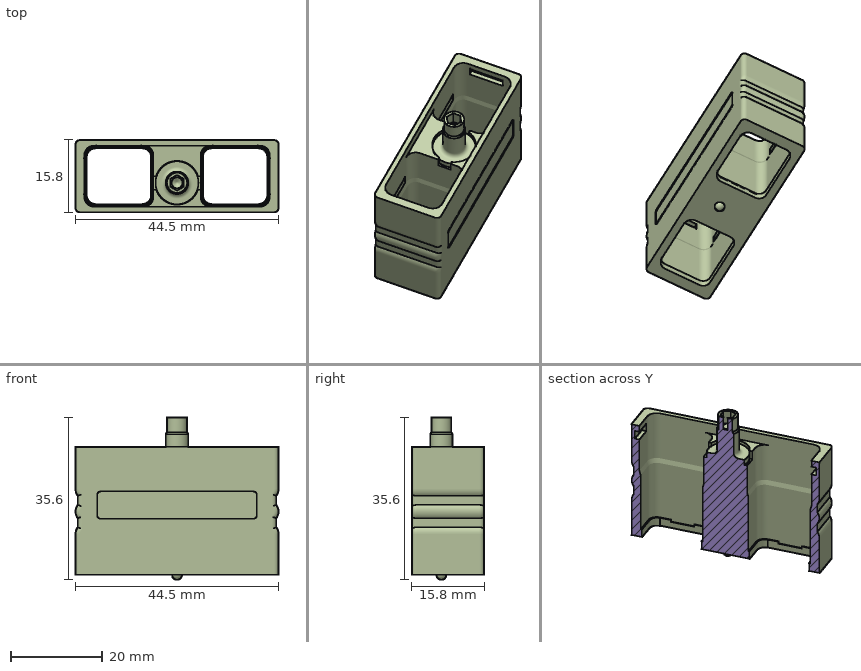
import cadquery as cq
import math

LENGTH = 44.45
WIDTH = 15.83
HEIGHT = 28.0
CORNER_RADIUS = 1.0

GRIP_CENTER_Z = 13.85
GRIP_DEPTH = 0.5
RIDGE_HALF_HEIGHT = 1.45
GRIP_FLAT_HEIGHT = 2.0

LABEL_LENGTH = 34.9
LABEL_HEIGHT = 5.95
LABEL_CENTER_Z = 15.27
LABEL_RADIUS = 0.7
LABEL_DEPTH = 0.2

CAVITY_HALF_LENGTH = 20.3
CAVITY_HALF_WIDTH = 6.7
CAVITY_RADIUS = 2.25
BRIDGE_HALF_LENGTH = 5.15
BRIDGE_TOP_Z = 25.5
STEP_TOP_Z = 16.7
STEP_BOTTOM_Z = 15.65
STEP_INSET = 0.3
LEDGE_Z = 2.0

WINDOW_INNER_X = 5.7
WINDOW_OUTER_X = 19.7
WINDOW_HALF_WIDTH = 6.05
WINDOW_RADIUS = 1.75
RELIEF_LENGTH = 10.5
RELIEF_DEPTH = 0.12
LEDGE_NOTCH_LENGTH = 5.5
LEDGE_NOTCH_DEPTH = 0.5

SIDE_LATCH_LENGTH = 9.8
SIDE_LATCH_BOTTOM_Z = 17.3
SIDE_LATCH_TOP_Z = 19.16
SIDE_LATCH_DEPTH = 0.64
END_LATCH_WIDTH = 7.9
END_LATCH_BOTTOM_Z = 24.55
END_LATCH_TOP_Z = 26.4
END_LATCH_DEPTH = 1.05

SCREW_Y = -1.45
SEAT_RADIUS = 4.8
SEAT_FLOOR_Z = 23.5
SEAT_NOTCH_WIDTH = 2.97
FLANGE_RADIUS = 4.7
FLANGE_TOP_Z = 24.8
FLANGE_FILLET = 1.0
SHANK_RADIUS = 2.47
NECK_RADIUS = 2.2
SHANK_TOP_Z = 30.8
NECK_BOTTOM_Z = 31.2
SCREW_TOP_Z = 34.45
HEX_FLATS = 2.95
HEX_DEPTH = 3.0
DRILL_RADIUS = 1.2
DRILL_POINT_DEPTH = 0.7
TIP_RADIUS = 1.1

POCKET_CENTER_X = (BRIDGE_HALF_LENGTH + CAVITY_HALF_LENGTH) / 2
POCKET_LENGTH = CAVITY_HALF_LENGTH - BRIDGE_HALF_LENGTH
WINDOW_CENTER_X = (WINDOW_INNER_X + WINDOW_OUTER_X) / 2
WINDOW_LENGTH = WINDOW_OUTER_X - WINDOW_INNER_X
RIDGE_ARC_RADIUS = (RIDGE_HALF_HEIGHT**2 + GRIP_DEPTH**2) / (2 * GRIP_DEPTH)


def block(x_range, y_range, z_range):
    """Axis-aligned box given by its limits."""
    size = [high - low for low, high in (x_range, y_range, z_range)]
    corner = (x_range[0], y_range[0], z_range[0])
    return cq.Workplane("XY").box(*size, centered=False).translate(corner)


def rounded_prism(center_x, length, width, radius, bottom_z, top_z):
    """Upright prism with rounded vertical edges, centred on Y = 0."""
    prism = cq.Workplane("XY", origin=(center_x, 0, bottom_z)).rect(length, width)
    return prism.extrude(top_z - bottom_z).edges("|Z").fillet(radius)


def housing_block():
    """Outer block whose short ends carry a rounded ridge between two flat grooves."""
    end = LENGTH / 2
    floor = end - GRIP_DEPTH
    flat_start = RIDGE_HALF_HEIGHT
    flat_end = flat_start + GRIP_FLAT_HEIGHT
    groove_end = flat_end + RIDGE_HALF_HEIGHT
    half_rise = RIDGE_HALF_HEIGHT / 2
    half_x = end - RIDGE_ARC_RADIUS + math.sqrt(RIDGE_ARC_RADIUS**2 - half_rise**2)

    def at(side, x, offset):
        return (side * x, GRIP_CENTER_Z + side * offset)

    outline = cq.Workplane("XZ").moveTo(-end, 0)
    outline = outline.lineTo(end, 0)
    for side, last_z in ((1, HEIGHT), (-1, 0)):
        outline = outline.lineTo(*at(side, end, -groove_end))
        outline = outline.threePointArc(
            at(side, half_x, -groove_end + half_rise), at(side, floor, -flat_end)
        )
        outline = outline.lineTo(*at(side, floor, -flat_start))
        outline = outline.threePointArc(at(side, end, 0), at(side, floor, flat_start))
        outline = outline.lineTo(*at(side, floor, flat_end))
        outline = outline.threePointArc(
            at(side, half_x, groove_end - half_rise), at(side, end, groove_end)
        )
        outline = outline.lineTo(side * end, last_z)
        if side == 1:
            outline = outline.lineTo(-end, HEIGHT)
    solid = outline.close().extrude(WIDTH / 2, both=True)
    long_edges = solid.faces("<Y or >Y").edges("not(<Z or >Z)")
    return long_edges.fillet(CORNER_RADIUS)


def label_recess():
    wall_y = -WIDTH / 2
    plane = cq.Workplane("XZ", origin=(0, wall_y + LABEL_DEPTH, LABEL_CENTER_Z))
    recess = plane.rect(LABEL_LENGTH, LABEL_HEIGHT).extrude(LABEL_DEPTH)
    return recess.edges("|Y").fillet(LABEL_RADIUS)


def pocket(side):
    """Pocket narrowing at a sloped step, ending on a ledge around a through window."""
    center_x = side * POCKET_CENTER_X
    width = 2 * CAVITY_HALF_WIDTH
    upper = rounded_prism(center_x, POCKET_LENGTH, width, CAVITY_RADIUS, STEP_BOTTOM_Z, HEIGHT)
    upper = upper.faces("<Z").chamfer(STEP_TOP_Z - STEP_BOTTOM_Z, STEP_INSET)
    lower = rounded_prism(
        center_x,
        POCKET_LENGTH - 2 * STEP_INSET,
        width - 2 * STEP_INSET,
        CAVITY_RADIUS - STEP_INSET,
        LEDGE_Z,
        STEP_BOTTOM_Z,
    )
    window = rounded_prism(
        side * WINDOW_CENTER_X, WINDOW_LENGTH, 2 * WINDOW_HALF_WIDTH, WINDOW_RADIUS, 0, LEDGE_Z
    )
    return upper.union(lower).union(window)


def ledge_cuts(side):
    """Shallow window relief and a lowered stretch of the ledge on the -Y side."""
    center_x = side * WINDOW_CENTER_X
    relief = block(
        (center_x - RELIEF_LENGTH / 2, center_x + RELIEF_LENGTH / 2),
        (-WINDOW_HALF_WIDTH - RELIEF_DEPTH, 0),
        (0, LEDGE_Z),
    )
    notch = block(
        (center_x - LEDGE_NOTCH_LENGTH / 2, center_x + LEDGE_NOTCH_LENGTH / 2),
        (-CAVITY_HALF_WIDTH + STEP_INSET, 0),
        (LEDGE_Z - LEDGE_NOTCH_DEPTH, LEDGE_Z),
    )
    return relief.union(notch)


def side_latch(side):
    """Wedge-shaped undercut in the +Y cavity wall, deepest at its top."""
    start_x = side * POCKET_CENTER_X - SIDE_LATCH_LENGTH / 2
    profile = [
        (CAVITY_HALF_WIDTH, SIDE_LATCH_BOTTOM_Z),
        (CAVITY_HALF_WIDTH + SIDE_LATCH_DEPTH, SIDE_LATCH_TOP_Z),
        (CAVITY_HALF_WIDTH, SIDE_LATCH_TOP_Z),
    ]
    plane = cq.Workplane("YZ", origin=(start_x, 0, 0))
    return plane.polyline(profile).close().extrude(SIDE_LATCH_LENGTH)


def end_latch(side):
    """Blind slot in a short cavity wall."""
    inner_x = side * CAVITY_HALF_LENGTH
    outer_x = side * (CAVITY_HALF_LENGTH + END_LATCH_DEPTH)
    half_width = END_LATCH_WIDTH / 2
    return block(
        (min(inner_x, outer_x), max(inner_x, outer_x)),
        (-half_width, half_width),
        (END_LATCH_BOTTOM_Z, END_LATCH_TOP_Z),
    )


def screw_seat():
    """Round seat in the bridge, opened to both pockets by a cross notch."""
    depth = BRIDGE_TOP_Z - SEAT_FLOOR_Z
    plane = cq.Workplane("XY", origin=(0, SCREW_Y, SEAT_FLOOR_Z))
    seat = plane.circle(SEAT_RADIUS).extrude(depth)
    notch = plane.rect(2 * BRIDGE_HALF_LENGTH, SEAT_NOTCH_WIDTH).extrude(depth)
    return seat.union(notch)


def screw_body():
    """Flanged screw head with a stepped shank above it."""
    fillet_mid = FLANGE_FILLET * (1 - math.sqrt(0.5))
    profile = (
        cq.Workplane("XZ")
        .moveTo(0, SEAT_FLOOR_Z)
        .lineTo(FLANGE_RADIUS, SEAT_FLOOR_Z)
        .lineTo(FLANGE_RADIUS, FLANGE_TOP_Z)
        .lineTo(SHANK_RADIUS + FLANGE_FILLET, FLANGE_TOP_Z)
        .threePointArc(
            (SHANK_RADIUS + fillet_mid, FLANGE_TOP_Z + fillet_mid),
            (SHANK_RADIUS, FLANGE_TOP_Z + FLANGE_FILLET),
        )
        .lineTo(SHANK_RADIUS, SHANK_TOP_Z)
        .lineTo(NECK_RADIUS, NECK_BOTTOM_Z)
        .lineTo(NECK_RADIUS, SCREW_TOP_Z)
        .lineTo(0, SCREW_TOP_Z)
        .close()
    )
    return profile.revolve(360, (0, 0, 0), (0, 1, 0)).translate((0, SCREW_Y, 0))


def hex_socket():
    """Hexagonal key socket, corners along Y, with a conical bottom."""
    floor_z = SCREW_TOP_Z - HEX_DEPTH
    corner_diameter = HEX_FLATS / math.cos(math.pi / 6)
    plane = cq.Workplane("XY", origin=(0, SCREW_Y, floor_z))
    socket = plane.transformed(rotate=(0, 0, 90)).polygon(6, corner_diameter).extrude(HEX_DEPTH)
    point = cq.Solid.makeCone(
        DRILL_RADIUS, 0, DRILL_POINT_DEPTH, cq.Vector(0, SCREW_Y, floor_z), cq.Vector(0, 0, -1)
    )
    return socket.union(cq.Workplane(point))


def screw_tip():
    """Rounded end of the screw showing below the housing."""
    return cq.Workplane("XY", origin=(0, SCREW_Y, 0)).sphere(TIP_RADIUS)


housing = housing_block().cut(label_recess())
housing = housing.cut(
    rounded_prism(
        0, 2 * CAVITY_HALF_LENGTH, 2 * CAVITY_HALF_WIDTH, CAVITY_RADIUS, BRIDGE_TOP_Z, HEIGHT
    )
)
for pocket_side in (-1, 1):
    housing = housing.cut(pocket(pocket_side))
    housing = housing.cut(ledge_cuts(pocket_side))
    housing = housing.cut(side_latch(pocket_side))
    housing = housing.cut(end_latch(pocket_side))
housing = housing.cut(screw_seat())

result = housing.union(screw_body()).cut(hex_socket()).union(screw_tip())